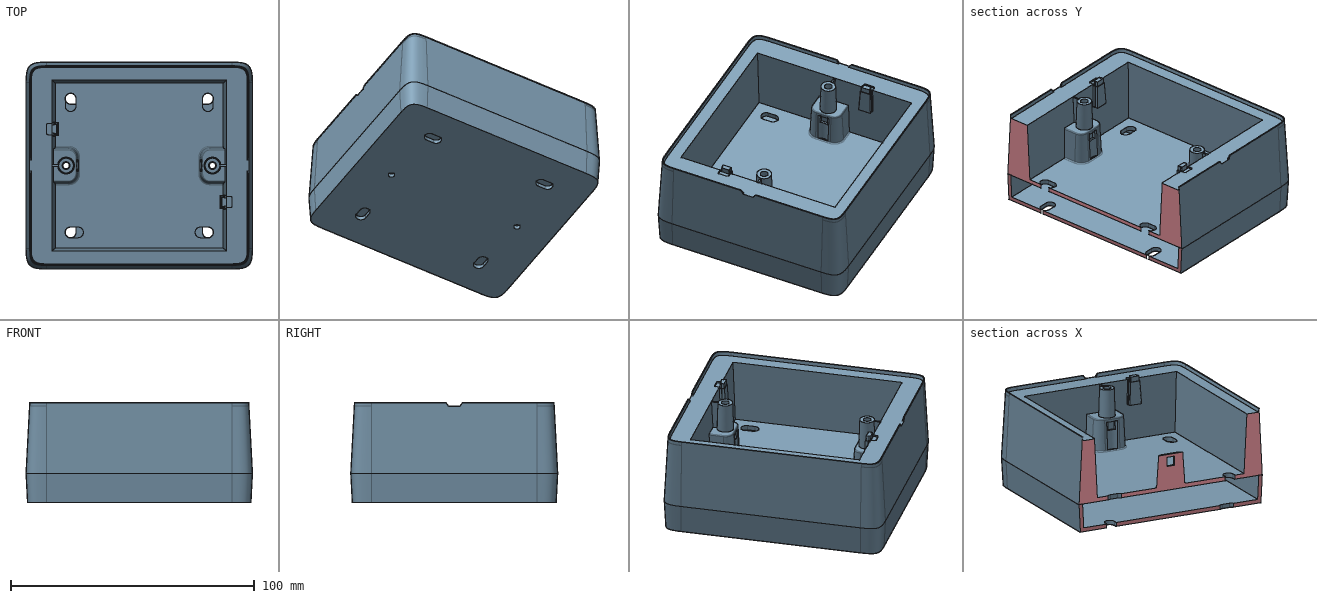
import cadquery as cq
import math

LENGTH = 92.9
WIDTH = 84.9
HEIGHT = 41.0
PARTING_Z = 12.0
DRAFT = 3.0
SLOPE = math.tan(math.radians(DRAFT))

CORNER_SIZE = 8.45
CORNER_FULLNESS = 0.83
FLAT_X = LENGTH / 2 - CORNER_SIZE
FLAT_Y = WIDTH / 2 - CORNER_SIZE

RIM_Z = 39.5
LIP_TOP_THICKNESS = 0.4
LIP_FOOT_THICKNESS = 0.7
NOTCH_BOTTOM = 4.55
NOTCH_TOP = 6.7

CAVITY_X = 71.5
CAVITY_Y = 70.2
FLOOR_Z = 13.9

BASE_FLOOR = 1.9
BASE_WALL = 1.9

SLOT_LENGTH = 7.4
SLOT_WIDTH = 4.4
SLOT_X = 28.1
SLOT_Y = 27.4

BOSS_X = 30.0
BLOCK_TOP_Z = 27.6
BLOCK_INNER_X = 24.9
BLOCK_EMBED = 1.9
BLOCK_OUTER_X = CAVITY_X / 2 + BLOCK_EMBED
BLOCK_WIDTH = 14.9
BLOCK_CORNER = 4.1
BLOCK_TOP_FILLET = 0.4
BLOCK_FOOT_FILLET = 0.5
POST_RADIUS = 3.4
POST_DRAFT = 2.0
POST_HOLE_RADIUS = 1.6
BASE_HOLE_RADIUS = 1.3
RIB_THICKNESS = 0.7
RIB_DROP = 0.3
RIB_TOP_Z = RIM_Z - RIB_DROP

GROOVE_WIDTH = 4.6
GROOVE_DEPTH = 0.7
GROOVE_TOP_Z = 26.2
POCKET_WIDTH = 3.3
POCKET_DEPTH = 2.0
POCKET_BOTTOM_Z = 22.5

CLIP_Y = 15.0
CLIP_WIDTH = 4.3
CLIP_INNER_X = 33.6
CLIP_HEAD = 1.2
CLIP_NECK_STEP = 0.3
CLIP_STEP = 0.2
CLIP_EMBED = 0.5
CLIP_BOTTOM_Z = 29.1
CLIP_POCKET_DEPTH = 0.65
CLIP_STEP_Z = RIM_Z - CLIP_POCKET_DEPTH
CLIP_POCKET_X = 38.0
CLIP_POCKET_WIDTH = 4.6
CLIP_POCKET_CORNER = 0.65


def outer_wire(z, inset):
    """Outer outline at height z, moved inwards by inset, with full round corners."""
    x = LENGTH / 2 - inset
    y = WIDTH / 2 - inset
    full_x = FLAT_X + CORNER_FULLNESS * (x - FLAT_X)
    full_y = FLAT_Y + CORNER_FULLNESS * (y - FLAT_Y)
    outline = (
        cq.Workplane("XY", origin=(0, 0, z))
        .moveTo(FLAT_X, -y)
        .bezier([(FLAT_X, -y), (full_x, -y), (x, -full_y), (x, -FLAT_Y)])
        .lineTo(x, FLAT_Y)
        .bezier([(x, FLAT_Y), (x, full_y), (full_x, y), (FLAT_X, y)])
        .lineTo(-FLAT_X, y)
        .bezier([(-FLAT_X, y), (-full_x, y), (-x, full_y), (-x, FLAT_Y)])
        .lineTo(-x, -FLAT_Y)
        .bezier([(-x, -FLAT_Y), (-x, -full_y), (-full_x, -y), (-FLAT_X, -y)])
        .close()
    )
    return outline.val()


def drafted_solid(sections):
    """Solid with straight walls through the given (height, inset) outlines."""
    wires = [outer_wire(z, inset) for z, inset in sections]
    return cq.Workplane(cq.Solid.makeLoft(wires, True))


def box_between(x0, x1, y0, y1, z0, z1):
    return cq.Workplane("XY").box(x1 - x0, y1 - y0, z1 - z0, centered=False).translate((x0, y0, z0))


def slots(z0, z1, back_along_x):
    """Slots running inwards from four corner points: the +Y pair one way, the -Y pair the other."""
    cutter = cq.Workplane("XY")
    shift = (SLOT_LENGTH - SLOT_WIDTH) / 2
    for side_x in (-1, 1):
        for side_y in (-1, 1):
            along_x = back_along_x == (side_y > 0)
            x = side_x * (SLOT_X - (shift if along_x else 0))
            y = side_y * (SLOT_Y - (0 if along_x else shift))
            angle = 0 if along_x else 90
            slot = (
                cq.Workplane("XY", origin=(x, y, z0))
                .slot2D(SLOT_LENGTH, SLOT_WIDTH, angle)
                .extrude(z1 - z0)
            )
            cutter = cutter.add(slot)
    return cutter.combine()


def screw_holes(radius, z0, z1):
    return (
        cq.Workplane("XY", origin=(0, 0, z0))
        .pushPoints([(-BOSS_X, 0), (BOSS_X, 0)])
        .circle(radius)
        .extrude(z1 - z0)
    )


def cavity():
    shrink = SLOPE * (RIM_Z - FLOOR_Z)
    return (
        cq.Workplane("XY", origin=(0, 0, RIM_Z))
        .rect(CAVITY_X, CAVITY_Y)
        .workplane(offset=FLOOR_Z - RIM_Z)
        .rect(CAVITY_X - 2 * shrink, CAVITY_Y - 2 * shrink)
        .loft(ruled=True)
    )


def lip_notches():
    """Trapezoid gap in the lip, in the middle of both X sides."""
    return (
        cq.Workplane("YZ", origin=(-LENGTH / 2, 0, 0))
        .moveTo(-NOTCH_BOTTOM / 2, RIM_Z)
        .lineTo(NOTCH_BOTTOM / 2, RIM_Z)
        .lineTo(NOTCH_TOP / 2, HEIGHT)
        .lineTo(-NOTCH_TOP / 2, HEIGHT)
        .close()
        .extrude(LENGTH)
    )


def boss_block():
    """Drafted block against the +X wall, rounded towards the middle of the housing."""
    half_width = BLOCK_WIDTH / 2
    return (
        cq.Workplane("XY", origin=(0, 0, FLOOR_Z))
        .moveTo(BLOCK_OUTER_X, -half_width)
        .lineTo(BLOCK_OUTER_X, half_width)
        .lineTo(BLOCK_INNER_X + BLOCK_CORNER, half_width)
        .radiusArc((BLOCK_INNER_X, half_width - BLOCK_CORNER), -BLOCK_CORNER)
        .lineTo(BLOCK_INNER_X, BLOCK_CORNER - half_width)
        .radiusArc((BLOCK_INNER_X + BLOCK_CORNER, -half_width), -BLOCK_CORNER)
        .close()
        .extrude(BLOCK_TOP_Z - FLOOR_Z, taper=DRAFT)
        .faces(">Z")
        .edges()
        .fillet(BLOCK_TOP_FILLET)
    )


def block_recess():
    """Shallow groove leaning like the inner face of the +X block, with a pocket at its top."""
    radius = (GROOVE_WIDTH**2 / 4 + GROOVE_DEPTH**2) / (2 * GROOVE_DEPTH)
    bottom_z = FLOOR_Z + BLOCK_FOOT_FILLET
    groove = (
        cq.Workplane("XY", origin=(BLOCK_INNER_X + GROOVE_DEPTH - radius, 0, bottom_z))
        .circle(radius)
        .extrude(GROOVE_TOP_Z - bottom_z, taper=-DRAFT)
    )
    pocket = box_between(
        BLOCK_INNER_X,
        BLOCK_INNER_X + POCKET_DEPTH,
        -POCKET_WIDTH / 2,
        POCKET_WIDTH / 2,
        POCKET_BOTTOM_Z,
        GROOVE_TOP_Z,
    )
    return groove.union(pocket)


def boss_post():
    """Post on the +X block, joined to the wall by a rib."""
    post = (
        cq.Workplane("XY", origin=(BOSS_X, 0, BLOCK_TOP_Z))
        .circle(POST_RADIUS)
        .extrude(RIM_Z - BLOCK_TOP_Z, taper=POST_DRAFT)
    )
    half_rib = RIB_THICKNESS / 2
    rib = box_between(BOSS_X, BLOCK_OUTER_X, -half_rib, half_rib, BLOCK_TOP_Z, RIB_TOP_Z)
    return post.union(rib)


def drafted_bar(z0, z1, inner_x, thickness, width):
    """Upright bar on the +X wall, drafted like the wall. Its sizes are those at the rim."""

    def section(z):
        lean = SLOPE * (RIM_Z - z)
        x0 = inner_x - lean
        half_width = width / 2 + lean
        plane = cq.Workplane("XY", origin=(x0 + thickness / 2, -CLIP_Y, z))
        return plane.rect(thickness, 2 * half_width).wires().val()

    return cq.Workplane(cq.Solid.makeLoft([section(z0), section(z1)], True))


def clip_part(z0, z1, step, neck_step):
    """Head and neck of the +X clip between two heights, made smaller by step."""
    inner_x = CLIP_INNER_X + step
    width = CLIP_WIDTH - 2 * step
    neck_length = CAVITY_X / 2 + CLIP_EMBED - inner_x
    head = drafted_bar(z0, z1, inner_x, CLIP_HEAD, width)
    neck = drafted_bar(z0, z1, inner_x + CLIP_HEAD, neck_length - CLIP_HEAD, width + 2 * neck_step)
    return head.union(neck)


def clip():
    """Clip on the +X wall that rises above the rim, slimmer above the step."""
    lower = clip_part(CLIP_BOTTOM_Z, CLIP_STEP_Z, 0, CLIP_NECK_STEP)
    upper = clip_part(CLIP_STEP_Z, HEIGHT, CLIP_STEP, -CLIP_NECK_STEP)
    return lower.union(upper)


def clip_pocket():
    """Pocket in the rim behind the +X clip, open to the cavity."""
    half_width = CLIP_POCKET_WIDTH / 2
    return (
        box_between(
            CAVITY_X / 2,
            CLIP_POCKET_X,
            -CLIP_Y - half_width,
            -CLIP_Y + half_width,
            CLIP_STEP_Z,
            HEIGHT,
        )
        .edges("|Z and >X")
        .fillet(CLIP_POCKET_CORNER)
    )


def both_sides(feature):
    """The +X feature and its mirror image at -X."""
    return [feature, feature.mirror("YZ")]


def opposite_pair(feature):
    """The +X feature and a copy half a turn round the Z axis."""
    return [feature, feature.rotate((0, 0, 0), (0, 0, 1), 180)]


def build_housing():
    rim_inset = SLOPE * (RIM_Z - PARTING_Z)
    top_inset = SLOPE * (HEIGHT - PARTING_Z)
    lip_foot_inset = rim_inset + LIP_FOOT_THICKNESS
    lip_top_inset = top_inset + LIP_TOP_THICKNESS
    housing = drafted_solid([(PARTING_Z, 0), (RIM_Z, rim_inset), (HEIGHT, top_inset)])
    housing = housing.cut(drafted_solid([(RIM_Z, lip_foot_inset), (HEIGHT, lip_top_inset)]))
    housing = housing.cut(lip_notches()).cut(cavity())

    for block in both_sides(boss_block()):
        housing = housing.union(block)
    reach = BLOCK_WIDTH / 2 + BLOCK_FOOT_FILLET
    for x in (-BOSS_X, BOSS_X):
        low = (x - reach, -reach, FLOOR_Z - BLOCK_FOOT_FILLET)
        high = (x + reach, reach, FLOOR_Z + BLOCK_FOOT_FILLET)
        housing = housing.edges(cq.selectors.BoxSelector(low, high)).fillet(BLOCK_FOOT_FILLET)

    for recess in both_sides(block_recess()):
        housing = housing.cut(recess)
    for post in both_sides(boss_post()):
        housing = housing.union(post)
    for one_clip in opposite_pair(clip()):
        housing = housing.union(one_clip)
    for pocket in opposite_pair(clip_pocket()):
        housing = housing.cut(pocket)
    housing = housing.cut(screw_holes(POST_HOLE_RADIUS, PARTING_Z, RIM_Z))
    return housing.cut(slots(PARTING_Z, FLOOR_Z, back_along_x=False))


def build_base():
    """Open tray under the housing, with the second half of each slot and screw hole."""
    base = drafted_solid([(0, SLOPE * PARTING_Z), (PARTING_Z, 0)])
    inside_foot = SLOPE * (PARTING_Z - BASE_FLOOR) + BASE_WALL
    base = base.cut(drafted_solid([(BASE_FLOOR, inside_foot), (PARTING_Z, BASE_WALL)]))
    base = base.cut(screw_holes(BASE_HOLE_RADIUS, 0, BASE_FLOOR))
    return base.cut(slots(0, BASE_FLOOR, back_along_x=True))


housing = build_housing()
base = build_base()
result = cq.Compound.makeCompound([housing.val(), base.val()])